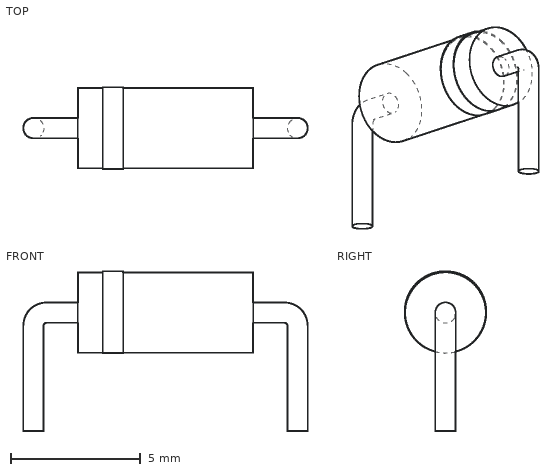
import cadquery as cq

overall_length = 10.95
overall_height = 6.15

body_diameter = 3.1
body_length = 6.75
band_diameter = 3.15
band_width = 0.79
band_offset = 0.95

lead_diameter = 0.79
bend_radius = 0.5

band_axis_height = overall_height - band_diameter / 2
axis_drop = 0.02
axis_height = band_axis_height - axis_drop
lead_x = (overall_length - lead_diameter) / 2


def cylinder_along_x(start_x, length, diameter, centre_z):
    """Cylinder parallel to X, running towards +X from start_x."""
    return (
        cq.Workplane("YZ", origin=(start_x, 0, centre_z))
        .circle(diameter / 2)
        .extrude(length)
    )


def bent_wire():
    """Both leads as one wire that also runs through the body."""
    bend_start_z = axis_height - bend_radius
    bend_end_x = lead_x - bend_radius
    path = (
        cq.Workplane("XZ")
        .moveTo(-lead_x, 0)
        .lineTo(-lead_x, bend_start_z)
        .tangentArcPoint((-bend_end_x, axis_height), relative=False)
        .lineTo(bend_end_x, axis_height)
        .tangentArcPoint((lead_x, bend_start_z), relative=False)
        .lineTo(lead_x, 0)
    )
    return cq.Workplane("XY").center(-lead_x, 0).circle(lead_diameter / 2).sweep(path)


body_start_x = -body_length / 2
body = cylinder_along_x(body_start_x, body_length, body_diameter, axis_height)
band = cylinder_along_x(body_start_x + band_offset, band_width, band_diameter, band_axis_height)

result = body.union(band).union(bent_wire())